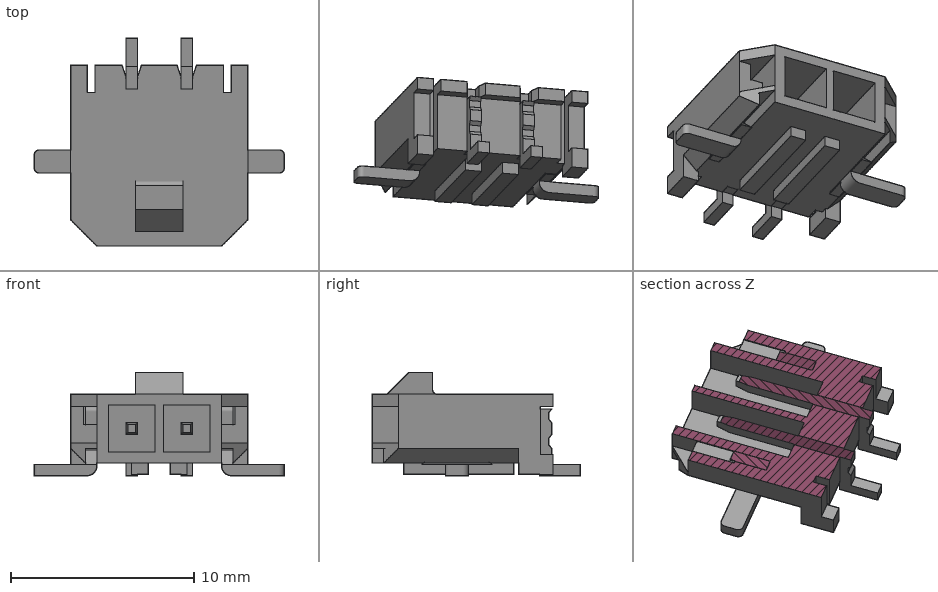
import cadquery as cq
import math


HOUSING_WIDTH = 9.66
HOUSING_LENGTH = 9.87
HOUSING_BOTTOM = 0.70
HOUSING_TOP = 4.45
CORNER_CHAMFER = 1.435
LOWER_EDGE_CHAMFER = 0.80
HALF_WIDTH = HOUSING_WIDTH / 2
MOUTH_HALF_WIDTH = HALF_WIDTH - CORNER_CHAMFER

SHELF_BOTTOM = 3.78
SHELF_OVERHANG = 0.70
BACK_WALL = HOUSING_LENGTH - SHELF_OVERHANG
BACK_SLOT_INNER = 3.51
BACK_SLOT_WIDTH = 0.41
BACK_SLOT_DEPTH = 1.48
ENTRY_MOUTH_WIDTH = 1.05
ENTRY_DEPTH = 0.62

FOOT_BOTTOM = 0.08
FOOT_TOP = 1.17
FOOT_LENGTH = 1.89
FOOT_INNER = BACK_SLOT_INNER + BACK_SLOT_WIDTH
RIB_INNER = 0.59
RIB_WIDTH = 0.91
RIB_FRONT = 1.72
RIB_LENGTH = 6.01

PITCH = 3.0
POCKET_SIZE = 2.55
POCKET_DEPTH = 6.5
PIN_HEIGHT = 2.58

LATCH_WIDTH = 2.60
LATCH_TOP = 5.64
LATCH_FRONT = 0.80
LATCH_BACK = 3.30
LATCH_FILLET = 0.25

CONTACT_THICKNESS = 0.64
PIN_TIP_Y = 2.0
PIN_TIP_SIZE = 0.43
PIN_TAPER_LENGTH = 0.75
BLADE_FRONT = 8.57
BLADE_BACK = 9.80
BLADE_TOP = 3.655
TAIL_HEIGHT = 0.62
TAIL_FRONT = 9.13
TAIL_END = 11.35
NOTCHES_PER_BLADE = 2
NOTCH_OUTER_HEIGHT = 0.77
NOTCH_INNER_HEIGHT = 0.36
NOTCH_DEPTH = 0.165
NOTCH_PITCH = 1.40

NAIL_SPAN = 13.65
NAIL_CENTER_Y = 4.62
NAIL_THICKNESS = 0.62
NAIL_BASE_HALF_LENGTH = 1.915
NAIL_SHOULDER_TOP = 1.40
NAIL_SHOULDER_SLOPE = 48.0
NAIL_TOP_FILLET = 0.29
TAB_WIDTH = 1.27
TAB_HEIGHT = NAIL_THICKNESS
TAB_CORNER_RADIUS = 0.29
BEND_RADIUS = 0.55
NAIL_INNER = MOUTH_HALF_WIDTH
NAIL_OUTER = NAIL_INNER + NAIL_THICKNESS
NAIL_ARM_HALF_LENGTH = NAIL_BASE_HALF_LENGTH - (NAIL_SHOULDER_TOP - TAB_HEIGHT) * math.tan(
    math.radians(NAIL_SHOULDER_SLOPE)
)
NAIL_ARM_FRONT = NAIL_CENTER_Y - NAIL_ARM_HALF_LENGTH

RECESS_FLOOR = 1.78
NAIL_SLOT_TOP = 1.48
WINDOW_FLOOR = 2.79
WINDOW_OUTER = 4.13

CONTACT_CENTERS = (-PITCH / 2, PITCH / 2)


def block(x_range, y_range, z_range):
    """Axis-aligned box between the given limits."""
    (x0, x1), (y0, y1), (z0, z1) = x_range, y_range, z_range
    return cq.Workplane("XY").box(x1 - x0, y1 - y0, z1 - z0, centered=False).translate((x0, y0, z0))


def mirrored(shape):
    """The shape's copy on the -X side."""
    return shape.mirror("YZ")


def extrude_along_x(side_profile, x_start, x_end):
    """Extrude a closed profile drawn in (y, z) between two x positions."""
    return side_profile.extrude(x_end - x_start).translate((x_start, 0, 0))


def nail_plate():
    """Upright plate of the +X nail: a wide base with sloped shoulders under a narrow arm."""
    profile = (
        cq.Workplane("YZ")
        .moveTo(NAIL_CENTER_Y - NAIL_BASE_HALF_LENGTH, TAB_HEIGHT)
        .lineTo(NAIL_ARM_FRONT, NAIL_SHOULDER_TOP)
        .lineTo(NAIL_ARM_FRONT, SHELF_BOTTOM)
        .lineTo(NAIL_CENTER_Y + NAIL_ARM_HALF_LENGTH, SHELF_BOTTOM)
        .lineTo(NAIL_CENTER_Y + NAIL_ARM_HALF_LENGTH, NAIL_SHOULDER_TOP)
        .lineTo(NAIL_CENTER_Y + NAIL_BASE_HALF_LENGTH, TAB_HEIGHT)
        .close()
    )
    plate = extrude_along_x(profile, NAIL_INNER, NAIL_OUTER)
    return plate.edges("|X and >Z").fillet(NAIL_TOP_FILLET)


def make_nail():
    """Solder nail on the +X side: the upright plate with a tab bent outward onto the board."""
    tab_y = (NAIL_CENTER_Y - TAB_WIDTH / 2, NAIL_CENTER_Y + TAB_WIDTH / 2)
    tab = block((NAIL_INNER, NAIL_SPAN / 2), tab_y, (0, TAB_HEIGHT))
    tab = tab.edges("|Z and >X").fillet(TAB_CORNER_RADIUS)
    tab = tab.edges("|Y and <X and <Z").fillet(BEND_RADIUS)
    return nail_plate().union(tab)


def make_contact(center_x):
    """Contact: tapered pin, upright blade with a notched back edge, and a solder tail."""
    half = CONTACT_THICKNESS / 2
    x_range = (center_x - half, center_x + half)
    blade = block(x_range, (BLADE_FRONT, BLADE_BACK), (HOUSING_BOTTOM, BLADE_TOP))
    leg = block(x_range, (TAIL_FRONT, BLADE_BACK), (0, HOUSING_BOTTOM))
    tail = block(x_range, (TAIL_FRONT, TAIL_END), (0, TAIL_HEIGHT))

    shank_start = PIN_TIP_Y + PIN_TAPER_LENGTH
    shank = block(x_range, (shank_start, BLADE_FRONT), (PIN_HEIGHT - half, PIN_HEIGHT + half))
    tip = (
        cq.Workplane("XZ", origin=(center_x, shank_start, PIN_HEIGHT))
        .rect(CONTACT_THICKNESS, CONTACT_THICKNESS)
        .workplane(offset=PIN_TAPER_LENGTH)
        .rect(PIN_TIP_SIZE, PIN_TIP_SIZE)
        .loft(ruled=True)
    )
    contact = blade.union(leg).union(tail).union(shank).union(tip)

    flank_height = (NOTCH_OUTER_HEIGHT - NOTCH_INNER_HEIGHT) / 2
    for index in range(NOTCHES_PER_BLADE):
        notch_top = BLADE_TOP - index * NOTCH_PITCH
        notch_bottom = notch_top - NOTCH_OUTER_HEIGHT
        notch = (
            cq.Workplane("YZ")
            .moveTo(BLADE_BACK, notch_top)
            .lineTo(BLADE_BACK - NOTCH_DEPTH, notch_top - flank_height)
            .lineTo(BLADE_BACK - NOTCH_DEPTH, notch_bottom + flank_height)
            .lineTo(BLADE_BACK, notch_bottom)
            .close()
        )
        contact = contact.cut(extrude_along_x(notch, *x_range))
    return contact


def housing_shell():
    """Housing block with its shelf, chamfered edges, corner feet and ribs."""
    full_x = (-HALF_WIDTH, HALF_WIDTH)
    shell = block(full_x, (0, BACK_WALL), (HOUSING_BOTTOM, HOUSING_TOP))
    shell = shell.edges("|Y and <Z").chamfer(LOWER_EDGE_CHAMFER)
    shell = shell.union(block(full_x, (BACK_WALL, HOUSING_LENGTH), (SHELF_BOTTOM, HOUSING_TOP)))

    corner = (
        cq.Workplane("XY")
        .moveTo(MOUTH_HALF_WIDTH, 0)
        .lineTo(HALF_WIDTH, CORNER_CHAMFER)
        .lineTo(HALF_WIDTH, 0)
        .close()
        .extrude(HOUSING_TOP)
    )
    foot_y = (HOUSING_LENGTH - FOOT_LENGTH, HOUSING_LENGTH)
    foot = block((FOOT_INNER, HALF_WIDTH), foot_y, (FOOT_BOTTOM, FOOT_TOP))
    foot_fill_z = (HOUSING_BOTTOM, HOUSING_BOTTOM + LOWER_EDGE_CHAMFER)
    foot_fill = block((FOOT_INNER, HALF_WIDTH), (foot_y[0], BACK_WALL), foot_fill_z)
    rib_x = (RIB_INNER, RIB_INNER + RIB_WIDTH)
    rib = block(rib_x, (RIB_FRONT, RIB_FRONT + RIB_LENGTH), (FOOT_BOTTOM, HOUSING_BOTTOM))
    for added in (foot, foot_fill, rib):
        shell = shell.union(added).union(mirrored(added))
    return shell.cut(corner).cut(mirrored(corner))


def latch():
    """Latch ramp: 45-degree lead-in at the front, upright catch face at the back."""
    profile = (
        cq.Workplane("YZ")
        .moveTo(LATCH_FRONT, HOUSING_TOP)
        .lineTo(LATCH_FRONT + LATCH_TOP - HOUSING_TOP, LATCH_TOP)
        .lineTo(LATCH_BACK, LATCH_TOP)
        .lineTo(LATCH_BACK, HOUSING_TOP + LATCH_FILLET)
        .radiusArc((LATCH_BACK + LATCH_FILLET, HOUSING_TOP), -LATCH_FILLET)
        .close()
    )
    return extrude_along_x(profile, -LATCH_WIDTH / 2, LATCH_WIDTH / 2)


def side_openings():
    """Openings on the +X side: corner recess, nail slot, window, nail pocket and back slot."""
    recess_x = (MOUTH_HALF_WIDTH, HALF_WIDTH)
    recess = block(recess_x, (0, CORNER_CHAMFER), (RECESS_FLOOR, SHELF_BOTTOM))
    slot = block((NAIL_INNER, NAIL_OUTER), (0, NAIL_ARM_FRONT), (HOUSING_BOTTOM, NAIL_SLOT_TOP))
    window_y = (CORNER_CHAMFER, NAIL_ARM_FRONT + NAIL_TOP_FILLET)
    window = block((NAIL_INNER, WINDOW_OUTER), window_y, (WINDOW_FLOOR, SHELF_BOTTOM))
    back_slot_x = (BACK_SLOT_INNER, BACK_SLOT_INNER + BACK_SLOT_WIDTH)
    back_slot_y = (HOUSING_LENGTH - BACK_SLOT_DEPTH, HOUSING_LENGTH)
    back_slot = block(back_slot_x, back_slot_y, (0, HOUSING_TOP))
    return [recess, slot, window, nail_plate(), back_slot]


def contact_openings(center_x):
    """Openings for one contact: front pocket, pin hole, blade slot and its tapered entry."""
    half = CONTACT_THICKNESS / 2
    x_range = (center_x - half, center_x + half)
    half_pocket = POCKET_SIZE / 2
    pocket = block(
        (center_x - half_pocket, center_x + half_pocket),
        (0, POCKET_DEPTH),
        (PIN_HEIGHT - half_pocket, PIN_HEIGHT + half_pocket),
    )
    pin_hole = block(x_range, (POCKET_DEPTH, BLADE_FRONT), (PIN_HEIGHT - half, PIN_HEIGHT + half))
    blade_slot = block(x_range, (BLADE_FRONT, HOUSING_LENGTH), (HOUSING_BOTTOM, HOUSING_TOP))
    entry = (
        cq.Workplane("XY", origin=(center_x, HOUSING_LENGTH, SHELF_BOTTOM))
        .moveTo(-ENTRY_MOUTH_WIDTH / 2, 0)
        .lineTo(-half, -ENTRY_DEPTH)
        .lineTo(half, -ENTRY_DEPTH)
        .lineTo(ENTRY_MOUTH_WIDTH / 2, 0)
        .close()
        .extrude(HOUSING_TOP - SHELF_BOTTOM)
    )
    return [pocket, pin_hole, blade_slot, entry]


def make_housing():
    """Complete housing with every opening cut."""
    housing = housing_shell().union(latch())
    for opening in side_openings():
        housing = housing.cut(opening).cut(mirrored(opening))
    for center_x in CONTACT_CENTERS:
        for opening in contact_openings(center_x):
            housing = housing.cut(opening)
    return housing


housing = make_housing()
contacts = [make_contact(center_x) for center_x in CONTACT_CENTERS]
right_nail = make_nail()
nails = [right_nail, mirrored(right_nail)]

result = cq.Compound.makeCompound([body.val() for body in (housing, *contacts, *nails)])